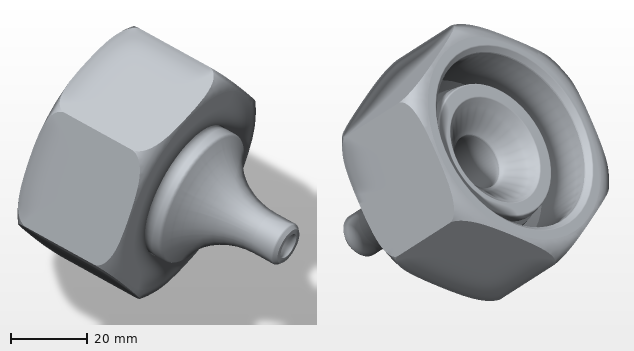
import cadquery as cq
import math

edge_rounding = 0.5

across_corners = 69.3
nut_length = 32.5
crown_radius = 5.55
thread_diameter = 49.8
thread_depth = 19.5
nut_bore_diameter = 38.3
countersink_diameter = 52.7

overall_length = 65.0
nipple_face = 8.0
nose_diameter = 37.9
shoulder_diameter = 43.0
cone_half_angle = 12.0
collar_diameter = 37.9
collar_rounding = 1.0
stub_diameter = 12.0
stub_start = 57.4
flare_radius = 22.0
stub_chamfer = 1.05

flare_angle = math.acos(1 - (collar_diameter - stub_diameter) / 2 / flare_radius)
collar_end = stub_start - flare_radius * math.sin(flare_angle)

groove_start_diameter = 38.95
groove_end_diameter = 40.6
groove_floor_diameter = 34.65

mouth_diameter = 30.2
bore_diameter = 15.0
mouth_depth = (mouth_diameter - bore_diameter) / 2
mouth_end = nipple_face + mouth_depth
bore_end = 40.2
bore_step_half_angle = 70.0
passage_diameter = 7.1


def cone_length(large_diameter, small_diameter, half_angle):
    """Axial length of a cone between two diameters."""
    return (large_diameter - small_diameter) / 2 / math.tan(math.radians(half_angle))


def cone_position(diameter):
    """Place along X where the sealing cone has the given diameter."""
    return nipple_face + cone_length(diameter, nose_diameter, cone_half_angle)


def seat_position(diameter):
    """Place along X where the 45 degree seat inside the nut has the given diameter."""
    return thread_depth + (thread_diameter - diameter) / 2


def turn(profile):
    """Solid of revolution about X from a profile in (x, radius)."""
    return profile.close().revolve(360, (0, 0, 0), (1, 0, 0))


def circles(body, *places):
    """Circular edges of a turned body, each found by its (x, diameter)."""
    tolerance = 0.01
    picked = []
    for x, diameter in places:
        for edge in body.edges("%CIRCLE").vals():
            same_radius = abs(edge.radius() - diameter / 2) < tolerance
            same_place = abs(edge.startPoint().x - x) < tolerance
            if same_radius and same_place:
                picked.append(edge)
    return body.newObject(picked)


def make_nut():
    hexagon = (
        cq.Workplane("YZ")
        .polygon(6, across_corners)
        .extrude(nut_length)
    )
    crown = (
        cq.Workplane("YZ")
        .circle(across_corners / 2)
        .extrude(nut_length)
        .edges()
        .fillet(crown_radius)
    )
    countersink_depth = (countersink_diameter - thread_diameter) / 2
    seat_end = seat_position(nut_bore_diameter)
    cavity = turn(
        cq.Workplane("XY")
        .moveTo(0, 0)
        .lineTo(0, countersink_diameter / 2)
        .lineTo(countersink_depth, thread_diameter / 2)
        .lineTo(thread_depth, thread_diameter / 2)
        .lineTo(seat_end, nut_bore_diameter / 2)
        .lineTo(nut_length, nut_bore_diameter / 2)
        .lineTo(nut_length, 0)
    )
    nut = hexagon.intersect(crown).cut(cavity)
    rounded = circles(nut, (0, countersink_diameter), (countersink_depth, thread_diameter))
    return rounded.fillet(edge_rounding)


def make_nipple_blank():
    shoulder_start = cone_position(shoulder_diameter)
    shoulder_end = seat_position(shoulder_diameter)
    collar_start = seat_position(collar_diameter)
    flare_centre_radius = stub_diameter / 2 + flare_radius
    middle = flare_angle / 2
    flare_middle = (
        stub_start - flare_radius * math.sin(middle),
        flare_centre_radius - flare_radius * math.cos(middle),
    )
    return turn(
        cq.Workplane("XY")
        .moveTo(nipple_face, 0)
        .lineTo(nipple_face, nose_diameter / 2)
        .lineTo(shoulder_start, shoulder_diameter / 2)
        .lineTo(shoulder_end, shoulder_diameter / 2)
        .lineTo(collar_start, collar_diameter / 2)
        .lineTo(collar_end, collar_diameter / 2)
        .threePointArc(flare_middle, (stub_start, stub_diameter / 2))
        .lineTo(overall_length - stub_chamfer, stub_diameter / 2)
        .lineTo(overall_length, stub_diameter / 2 - stub_chamfer)
        .lineTo(overall_length, 0)
    )


def make_passage():
    step_end = bore_end + cone_length(bore_diameter, passage_diameter, bore_step_half_angle)
    return turn(
        cq.Workplane("XY")
        .moveTo(nipple_face, 0)
        .lineTo(nipple_face, mouth_diameter / 2)
        .lineTo(mouth_end, bore_diameter / 2)
        .lineTo(bore_end, bore_diameter / 2)
        .lineTo(step_end, passage_diameter / 2)
        .lineTo(overall_length, passage_diameter / 2)
        .lineTo(overall_length, 0)
    )


def make_nipple():
    groove_start = cone_position(groove_start_diameter)
    groove_end = cone_position(groove_end_diameter)
    groove = (
        cq.Workplane("YZ", origin=(groove_start, 0, 0))
        .circle(shoulder_diameter / 2)
        .circle(groove_floor_diameter / 2)
        .extrude(groove_end - groove_start)
    )
    nipple = make_nipple_blank().cut(make_passage()).cut(groove)
    nipple = circles(nipple, (collar_end, collar_diameter)).fillet(collar_rounding)
    rounded = circles(
        nipple,
        (nipple_face, nose_diameter),
        (nipple_face, mouth_diameter),
        (mouth_end, bore_diameter),
        (overall_length - stub_chamfer, stub_diameter),
    )
    return rounded.fillet(edge_rounding)


nut = make_nut()
nipple = make_nipple()
result = cq.Compound.makeCompound([nut.val(), nipple.val()])